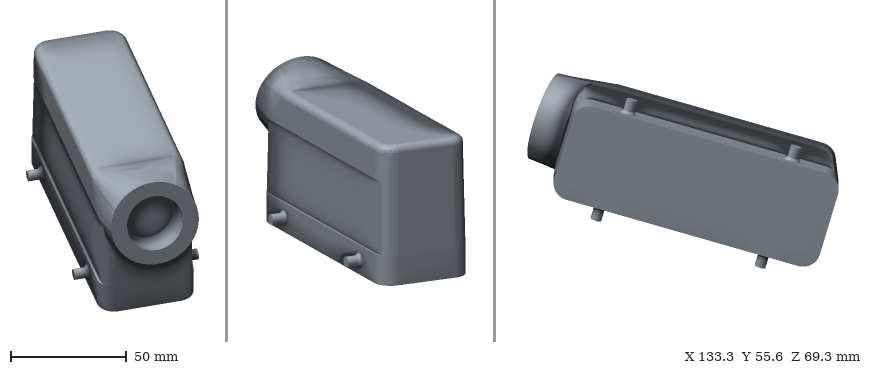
import cadquery as cq
import math

base_length = 119.7
base_width = 42.9
base_height = 13.2
corner_radius = 7.6
body_height = 62.4
end_draft = 1.2
side_draft = 0.8
top_fillet = 3.2

panel_top = 46.5
panel_depth = 1.2

neck_tilt = 15.0
neck_half_width = 19.6
neck_half_height = 19.0
neck_end_x = 128.4
neck_end_z = 50.9
shoulder_x = 98.4
seat_side_x = 113.2
bore_diameter = 25.0
bore_depth = 16.0
chord_angle = -11.0
side_angle = -1.5
fillet_low_angle = 29.0
fillet_high_angle = 57.0

pin_positions = (22.9, 96.9)
pin_height = 6.3
pin_diameter = 4.8
pin_span = 55.6
collar_diameter = 7.0
collar_length = 1.3

draft_height = body_height - base_height
center_x = base_length / 2
tilt = math.radians(neck_tilt)
axis = cq.Vector(math.cos(tilt), 0, math.sin(tilt))
neck_up = cq.Vector(-math.sin(tilt), 0, math.cos(tilt))
neck_end = cq.Vector(neck_end_x, 0, neck_end_z)


def body_half_width(z):
    """Half width of the drafted side walls at height z."""
    return base_width / 2 - side_draft * (z - base_height) / draft_height


def rounded_outline(z, length, width):
    return (
        cq.Sketch()
        .rect(length, width)
        .vertices()
        .fillet(corner_radius)
        .moved(cq.Location(cq.Vector(center_x, 0, z)))
    )


base_outline = rounded_outline(0, base_length, base_width)
base = cq.Workplane("XY").placeSketch(base_outline).extrude(base_height)

body = (
    cq.Workplane("XY")
    .placeSketch(
        rounded_outline(base_height, base_length, base_width),
        rounded_outline(body_height, base_length - 2 * end_draft, base_width - 2 * side_draft),
    )
    .loft(ruled=True)
    .faces(">Z")
    .edges()
    .fillet(top_fillet)
)


def panel_recess(side):
    inner_low = side * (body_half_width(base_height) - panel_depth)
    inner_high = side * (body_half_width(panel_top) - panel_depth)
    outer = side * base_width
    profile = [(inner_low, base_height), (inner_high, panel_top), (outer, panel_top), (outer, base_height)]
    return cq.Workplane("YZ").polyline(profile).close().extrude(base_length)


for side in (-1, 1):
    body = body.cut(panel_recess(side))

shoulder = cq.Vector(shoulder_x, 0, body_height)
seat_side = cq.Vector(seat_side_x, 0, panel_top)
slope = shoulder - seat_side
cut_low = seat_side - slope
cut_high = shoulder + slope
slope_cut = (
    cq.Workplane("XZ")
    .polyline([(cut_low.x, cut_low.z), (cut_high.x, cut_high.z), (cut_low.x, cut_high.z)])
    .close()
    .extrude(base_width, both=True)
)
body = body.cut(slope_cut)


def rim_point(center, half_width, angle):
    """Point on an elliptical neck section; 0 degrees lies toward +Y, 90 degrees on top."""
    turn = math.radians(angle)
    across = cq.Vector(0, half_width * math.cos(turn), 0)
    return center + across + neck_up * (neck_half_height * math.sin(turn))


def rim_arc(center, half_width, start, stop):
    """Elliptical edge of a neck section between two angles."""
    return cq.Edge.makeEllipse(
        half_width, neck_half_height, center, axis, cq.Vector(0, 1, 0), start, stop
    )


def rim_chord(center, half_width, angle):
    """Straight edge closing a neck section across its two points at the given angle."""
    left = rim_point(center, half_width, 180 - angle)
    return cq.Edge.makeLine(left, rim_point(center, half_width, angle))


def ruled_loft(first_edges, second_edges):
    wires = [cq.Wire.assembleEdges(edges) for edges in (first_edges, second_edges)]
    return cq.Workplane(cq.Solid.makeLoft(wires, True))


chord_drop = neck_half_height * math.sin(math.radians(-chord_angle))
chord_end = neck_end - neck_up * chord_drop
chord_steps = (chord_end - shoulder).dot(neck_up) / slope.dot(neck_up)
seat_low = shoulder + slope * chord_steps
seat_center = seat_low + neck_up * chord_drop
seat_low_half = body_half_width(seat_low.z) - panel_depth
seat_half_width = seat_low_half / math.cos(math.radians(chord_angle))


def seat_point(y, z):
    """Point on the sloping seat at the given height."""
    return shoulder + slope * ((z - body_height) / slope.z) + cq.Vector(0, y, 0)


def upper_neck():
    """Ruled transition from the outline of the sloping seat to the upper part of the end rim."""
    top_half = body_half_width(body_height)
    flat_half = top_half - top_fillet
    bulge = top_fillet * (1 - math.sqrt(0.5))
    fillet_z = body_height - top_fillet

    low = (seat_low_half, seat_low.z)
    side = (body_half_width(panel_top), panel_top)
    fillet_low = (top_half, fillet_z)
    fillet_middle = (top_half - bulge, body_height - bulge)
    fillet_high = (flat_half, body_height)

    def line(start, stop):
        return cq.Edge.makeLine(seat_point(*start), seat_point(*stop))

    def arc(start, middle, stop):
        return cq.Edge.makeThreePointArc(seat_point(*start), seat_point(*middle), seat_point(*stop))

    def opposite(point):
        return (-point[0], point[1])

    seat_edges = [
        line(low, side),
        line(side, fillet_low),
        arc(fillet_low, fillet_middle, fillet_high),
        line(fillet_high, opposite(fillet_high)),
        arc(opposite(fillet_high), opposite(fillet_middle), opposite(fillet_low)),
        line(opposite(fillet_low), opposite(side)),
        line(opposite(side), opposite(low)),
        line(opposite(low), low),
    ]
    angles = [chord_angle, side_angle, fillet_low_angle, fillet_high_angle]
    angles += [180 - angle for angle in reversed(angles)]
    end_edges = [
        rim_arc(neck_end, neck_half_width, start, stop) for start, stop in zip(angles, angles[1:])
    ]
    end_edges.append(rim_chord(neck_end, neck_half_width, chord_angle))
    return ruled_loft(seat_edges, end_edges)


def lower_neck():
    """Part of the neck below the chord, starting inside the body as wide as its side panels."""
    sections = [
        [
            rim_arc(center, half_width, 180 - chord_angle, 360 + chord_angle),
            rim_chord(center, half_width, chord_angle),
        ]
        for center, half_width in ((seat_center, seat_half_width), (neck_end, neck_half_width))
    ]
    return ruled_loft(*sections)


bore = cq.Solid.makeCylinder(bore_diameter / 2, bore_depth, neck_end, axis * -1)


def locking_pin(x, side):
    wall = base_width / 2
    profile = [
        (0, 0),
        (collar_diameter / 2, 0),
        (collar_diameter / 2, wall),
        (pin_diameter / 2, wall + collar_length),
        (pin_diameter / 2, pin_span / 2),
        (0, pin_span / 2),
    ]
    pin = cq.Workplane("XY").polyline(profile).close().revolve(360, (0, 0), (0, 1))
    if side < 0:
        pin = pin.mirror("XZ")
    return pin.translate((x, 0, pin_height))


result = base.union(body).union(upper_neck()).union(lower_neck())
for x in pin_positions:
    for side in (-1, 1):
        result = result.union(locking_pin(x, side))
result = result.cut(cq.Workplane(bore))